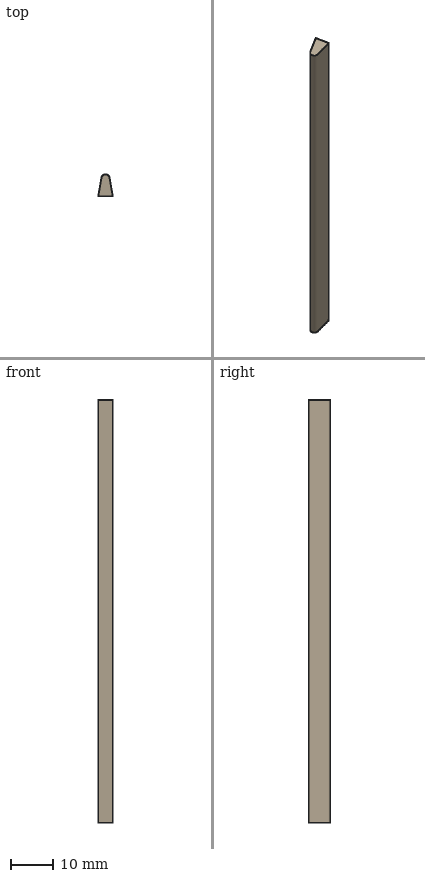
import cadquery as cq
import math

length = 100.0
base_width = 3.5
depth = 5.2
crown_radius = 1.0

base_y = -depth / 2
crown_y = depth / 2
crown_center_y = crown_y - crown_radius

half_base = base_width / 2
center_height = crown_center_y - base_y
corner_distance = math.hypot(half_base, center_height)
corner_direction = math.atan2(-center_height, half_base)
tangent_angle = corner_direction + math.acos(crown_radius / corner_distance)
tangent_x = crown_radius * math.cos(tangent_angle)
tangent_y = crown_center_y + crown_radius * math.sin(tangent_angle)

section = (
    cq.Workplane("XY", origin=(0, 0, -length / 2))
    .moveTo(-half_base, base_y)
    .lineTo(half_base, base_y)
    .lineTo(tangent_x, tangent_y)
    .threePointArc((0, crown_y), (-tangent_x, tangent_y))
    .close()
)

result = section.extrude(length)